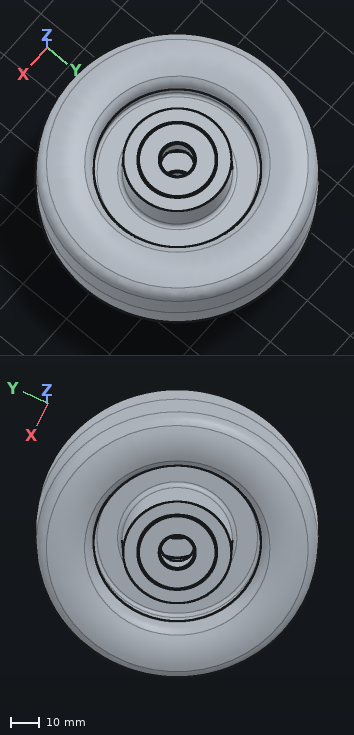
import cadquery as cq
import math

TIRE_RADIUS = 50.0
TOP_BULGE_HEIGHT = 16.45
BOTTOM_BULGE_HEIGHT = 16.95
CROWN_DROP = 0.75
BULGE_RADIUS = 40.1
BULGE_ARC_RADIUS = 20.5
EDGE_RADIUS = 5.0

HUB_HALF_LENGTH = 20.0
RIM_INNER_RADIUS = 29.4
RIM_THICKNESS = 3.0
RIM_OUTER_RADIUS = RIM_INNER_RADIUS + RIM_THICKNESS
RIM_HALF_WIDTH = 9.8
WEB_HALF_THICKNESS = 5.0
BOSS_TIP_RADIUS = 19.0
BOSS_BASE_RADIUS = 19.4
RIM_FILLET = 1.2
BOSS_FILLET = 1.6

BEARING_RADIUS = 14.0
BEARING_BORE_RADIUS = 6.0
BEARING_WIDTH = 8.0
BEARING_CHAMFER = 0.5

TOLERANCE = 0.01


def revolve_about_z(profile):
    """Turn a closed radius-height profile on the XZ plane into a full ring about Z."""
    return profile.close().revolve(360, (0, 0, 0), (0, 1, 0))


def round_circles_at(body, height, fillet_radius, circle_radius=None):
    """Fillet the body's circular edges at a height, or only those of one circle radius."""
    circles = []
    for edge in body.edges("%CIRCLE").vals():
        at_height = abs(edge.Center().z - height) < TOLERANCE
        of_radius = circle_radius is None or abs(edge.radius() - circle_radius) < TOLERANCE
        if at_height and of_radius:
            circles.append(edge)
    return body.newObject(circles).fillet(fillet_radius)


def bulge_drop(radius):
    """How far a side face has fallen below its highest point at a distance from the axis."""
    return BULGE_ARC_RADIUS - math.sqrt(BULGE_ARC_RADIUS**2 - (radius - BULGE_RADIUS) ** 2)


def make_tire():
    corner_radius = TIRE_RADIUS - CROWN_DROP
    crown_arc_radius = TIRE_RADIUS - CROWN_DROP / 4
    inner_drop = bulge_drop(RIM_INNER_RADIUS)
    outer_drop = bulge_drop(corner_radius)
    top_inner = TOP_BULGE_HEIGHT - inner_drop
    top_outer = TOP_BULGE_HEIGHT - outer_drop
    bottom_inner = -BOTTOM_BULGE_HEIGHT + inner_drop
    bottom_outer = -BOTTOM_BULGE_HEIGHT + outer_drop

    profile = (
        cq.Workplane("XZ")
        .moveTo(RIM_INNER_RADIUS, RIM_HALF_WIDTH)
        .lineTo(RIM_INNER_RADIUS, top_inner)
        .threePointArc((BULGE_RADIUS, TOP_BULGE_HEIGHT), (corner_radius, top_outer))
        .threePointArc((crown_arc_radius, top_outer / 2), (TIRE_RADIUS, 0))
        .threePointArc((crown_arc_radius, bottom_outer / 2), (corner_radius, bottom_outer))
        .threePointArc((BULGE_RADIUS, -BOTTOM_BULGE_HEIGHT), (RIM_INNER_RADIUS, bottom_inner))
        .lineTo(RIM_INNER_RADIUS, -RIM_HALF_WIDTH)
        .lineTo(RIM_OUTER_RADIUS, -RIM_HALF_WIDTH)
        .lineTo(RIM_OUTER_RADIUS, RIM_HALF_WIDTH)
    )
    tire = revolve_about_z(profile)
    for corner_height in (top_inner, top_outer, bottom_inner, bottom_outer):
        tire = round_circles_at(tire, corner_height, EDGE_RADIUS)
    return tire


def make_hub():
    profile = (
        cq.Workplane("XZ")
        .moveTo(BEARING_RADIUS, -HUB_HALF_LENGTH)
        .lineTo(BOSS_TIP_RADIUS, -HUB_HALF_LENGTH)
        .lineTo(BOSS_BASE_RADIUS, -WEB_HALF_THICKNESS)
        .lineTo(RIM_INNER_RADIUS, -WEB_HALF_THICKNESS)
        .lineTo(RIM_INNER_RADIUS, -RIM_HALF_WIDTH)
        .lineTo(RIM_OUTER_RADIUS, -RIM_HALF_WIDTH)
        .lineTo(RIM_OUTER_RADIUS, RIM_HALF_WIDTH)
        .lineTo(RIM_INNER_RADIUS, RIM_HALF_WIDTH)
        .lineTo(RIM_INNER_RADIUS, WEB_HALF_THICKNESS)
        .lineTo(BOSS_BASE_RADIUS, WEB_HALF_THICKNESS)
        .lineTo(BOSS_TIP_RADIUS, HUB_HALF_LENGTH)
        .lineTo(BEARING_RADIUS, HUB_HALF_LENGTH)
    )
    hub = revolve_about_z(profile)
    for web_face in (-WEB_HALF_THICKNESS, WEB_HALF_THICKNESS):
        hub = round_circles_at(hub, web_face, RIM_FILLET, RIM_INNER_RADIUS)
        hub = round_circles_at(hub, web_face, BOSS_FILLET, BOSS_BASE_RADIUS)
    return hub


def make_bearing(base_height):
    return (
        cq.Workplane("XY", origin=(0, 0, base_height))
        .circle(BEARING_RADIUS)
        .circle(BEARING_BORE_RADIUS)
        .extrude(BEARING_WIDTH)
        .edges("%CIRCLE")
        .chamfer(BEARING_CHAMFER)
    )


tire = make_tire()
hub = make_hub()
bearings = []
for base_height in (-HUB_HALF_LENGTH, HUB_HALF_LENGTH - BEARING_WIDTH):
    bearings.append(make_bearing(base_height).val())

result = cq.Compound.makeCompound([tire.val(), hub.val(), *bearings])